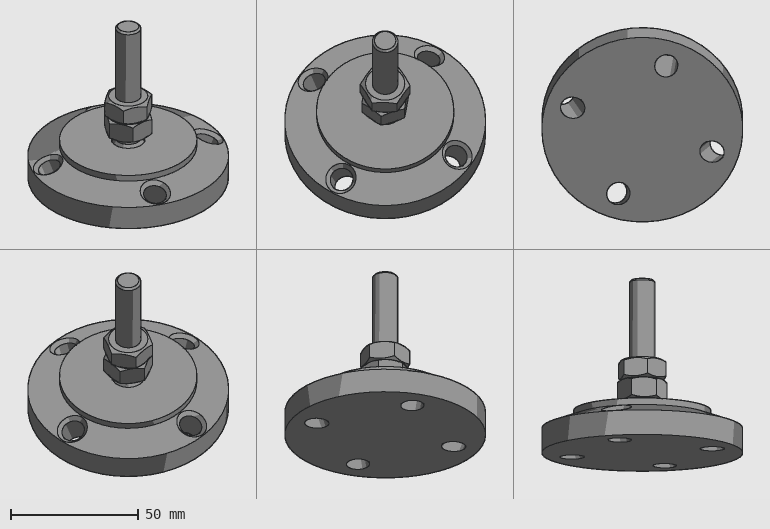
import cadquery as cq
import math

base_diameter = 79.0
disc_diameter = 54.0
rim_height = 9.8
shoulder_top = 14.3
disc_top = 16.9

hole_count = 4
hole_diameter = 9.0
countersink_diameter = 12.3
countersink_depth = 1.6

rod_diameter = 10.0
rod_tip_diameter = 8.4
rod_top = 69.05
flare_diameter = 13.0
flare_rise = 0.9
flare_depth = 1.4

across_flats = 17.0
across_corners = across_flats / math.cos(math.radians(30))
hex_height = 8.1
hex_bottom = 20.8
hex_face_diameter = 16.6
hex_turn = -7.5
nut_face_diameter = 15.4
nut_turn = 90.0
hex_chamfer_angle = 30.0

nut_bottom = hex_bottom + hex_height


def revolve_profile(points):
    """Solid of revolution about Z from (radius, height) points."""
    return cq.Workplane("XZ").polyline(points).close().revolve(360, (0, 0), (0, 1))


def chamfered_hexagon(bottom, face_diameter, turn):
    """Hexagonal prism whose corners are cut by a cone at both ends."""
    corner_radius = across_corners / 2
    face_radius = face_diameter / 2
    drop = (corner_radius - face_radius) * math.tan(math.radians(hex_chamfer_angle))
    prism = cq.Workplane("XY").polygon(6, across_corners).extrude(hex_height)
    envelope = revolve_profile([
        (0, 0),
        (face_radius, 0),
        (corner_radius, drop),
        (corner_radius, hex_height - drop),
        (face_radius, hex_height),
        (0, hex_height),
    ])
    hexagon = prism.intersect(envelope)
    return hexagon.rotate((0, 0, 0), (0, 0, 1), turn).translate((0, 0, bottom))


def mounting_hole_cutter():
    """Countersunk hole along the shoulder normal, on the +X side."""
    base_radius = base_diameter / 2
    disc_radius = disc_diameter / 2
    slope = math.degrees(math.atan2(shoulder_top - rim_height, base_radius - disc_radius))
    hole_radius = hole_diameter / 2
    sink_radius = countersink_diameter / 2
    reach = 2 * disc_top
    clearance = 0.4
    flare = clearance * (sink_radius - hole_radius) / countersink_depth
    cutter = revolve_profile([
        (0, -reach),
        (hole_radius, -reach),
        (hole_radius, -countersink_depth),
        (sink_radius + flare, clearance),
        (0, clearance),
    ])
    center_radius = (base_radius + disc_radius) / 2
    center_height = (rim_height + shoulder_top) / 2
    return cutter.rotate((0, 0, 0), (0, 1, 0), slope).translate((center_radius, 0, center_height))


def make_base():
    base = revolve_profile([
        (0, 0),
        (base_diameter / 2, 0),
        (base_diameter / 2, rim_height),
        (disc_diameter / 2, shoulder_top),
        (disc_diameter / 2, disc_top),
        (0, disc_top),
    ])
    seat = cq.Workplane("XY").workplane(offset=disc_top - flare_depth)
    base = base.cut(seat.circle(flare_diameter / 2).extrude(flare_depth))
    cutter = mounting_hole_cutter()
    for index in range(hole_count):
        base = base.cut(cutter.rotate((0, 0, 0), (0, 0, 1), index * 360 / hole_count))
    return base


def make_stud():
    tip_chamfer = (rod_diameter - rod_tip_diameter) / 2
    rod = revolve_profile([
        (0, disc_top - flare_depth),
        (flare_diameter / 2, disc_top - flare_depth),
        (rod_diameter / 2, disc_top + flare_rise),
        (rod_diameter / 2, rod_top - tip_chamfer),
        (rod_tip_diameter / 2, rod_top),
        (0, rod_top),
    ])
    return rod.union(chamfered_hexagon(hex_bottom, hex_face_diameter, hex_turn))


def make_lock_nut():
    nut = chamfered_hexagon(nut_bottom, nut_face_diameter, nut_turn)
    bore = cq.Workplane("XY").workplane(offset=nut_bottom).circle(rod_diameter / 2).extrude(hex_height)
    return nut.cut(bore)


base = make_base()
stud = make_stud()
lock_nut = make_lock_nut()

result = cq.Compound.makeCompound([base.solids().val(), stud.solids().val(), lock_nut.solids().val()])